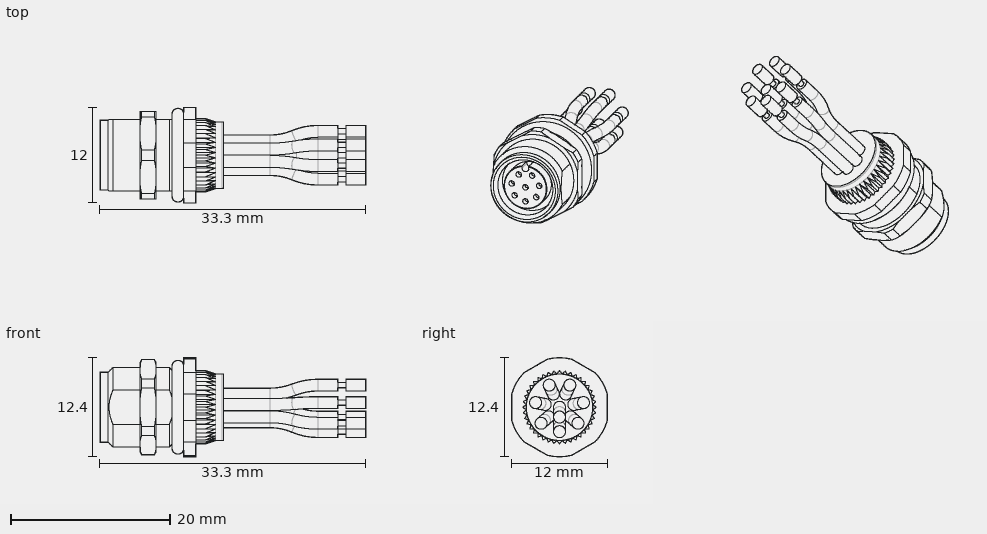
import cadquery as cq
import math


collar_end = 1.0
nut_start = 5.0
nut_end = 7.0
thread_end = 8.65
flange_start = 10.45
flange_end = 12.0
knurl_taper_start = 13.2
knurl_end = 14.45
body_end = 15.5
bend_start = 21.3
bend_end = 27.3
strip_start = 29.8
strip_end = 30.8
wire_end = 33.3

collar_radius = 8.8 / 2
neck_radius = 4.43
thread_radius = 5.0
thread_flat_width = 9.0
thread_chamfer = thread_radius - collar_radius
rear_collar_radius = 8.4 / 2
rear_chamfer_length = 0.23
rear_chamfer_depth = 0.03

seal_squeeze = 0.03
seal_tube_radius = 1.5 / 2
seal_centre_radius = neck_radius + seal_tube_radius - seal_squeeze
seal_x = flange_start - seal_tube_radius + seal_squeeze

nut_width = 11.0
nut_corner_radius = 6.0
nut_chamfer_length = 0.2
nut_face_radius = 5.6
nut_bore_radius = thread_radius
flange_width = 12.0
flange_corner_radius = 12.45 / 2

tooth_count = 40
tooth_crest_radius = 4.6
tooth_root_radius = rear_collar_radius

bore_radius = 7.2 / 2
mouth_radius = 4.05
mouth_depth = mouth_radius - bore_radius
bore_depth = 2.65
insert_radius = 2.8
insert_chamfer = 0.05
insert_recess = 0.45
key_radius = 0.43
key_centre_height = 2.5
inner_seal_tube_radius = (bore_radius - insert_radius) / 2 + seal_squeeze
inner_seal_centre_radius = (bore_radius + insert_radius) / 2
contact_diameter = 0.7
contact_depth = 1.0
contact_circle_radius = 1.83
ring_contact_count = 7
key_gap_angle = 57.0

wire_circle_radius = 1.83
side_wire_angles = (25.0, 79.0, 131.0)
wire_diameter = 1.5
core_diameter = 0.7
wire_offset = 1.23
straight_down = 180.0


def turned(profile):
    """Revolve an (x, radius) outline about the X axis."""
    return cq.Workplane("XY").polyline(profile).close().revolve(360, (0, 0, 0), (1, 0, 0))


def cylinder(radius, start, end, z=0):
    """Cylinder along X."""
    return cq.Workplane("YZ", origin=(start, 0, 0)).center(0, z).circle(radius).extrude(end - start)


def ring_seal(x, centre_radius, tube_radius):
    """O-ring around the X axis."""
    section = cq.Workplane("XY").center(x, centre_radius).circle(tube_radius)
    return section.revolve(360, (0, -centre_radius, 0), (1, -centre_radius, 0))


def around_axis(shape, angle):
    """Turn a shape about the X axis."""
    return shape.rotate((0, 0, 0), (1, 0, 0), angle)


def hexagon(width, start, end):
    """Hexagonal prism along X with two flats facing +Y and -Y."""
    across_corners = width / math.cos(math.radians(30))
    blank = cq.Workplane("YZ", origin=(start, 0, 0)).polygon(6, across_corners).extrude(end - start)
    half_sector = 30
    return around_axis(blank, half_sector)


def contact_angles():
    """Angles from +Z of the ring contacts, evenly spread outside the wider gap at the key."""
    step = (360.0 - key_gap_angle) / (ring_contact_count - 1)
    return [key_gap_angle / 2 + i * step for i in range(ring_contact_count)]


def wire_angles():
    """Angles from +Z of the ring wires."""
    return [straight_down] + [side * angle for angle in side_wire_angles for side in (1, -1)]


def make_body():
    front = turned([
        (0, 0),
        (0, collar_radius),
        (collar_end, collar_radius),
        (collar_end + thread_chamfer, thread_radius),
        (thread_end, thread_radius),
        (thread_end + thread_radius - neck_radius, neck_radius),
        (flange_start, neck_radius),
        (flange_start, 0),
    ])
    flats = cq.Workplane("XY").box(
        flange_start, thread_flat_width, 2 * thread_radius, centered=(False, True, True)
    )
    rear = turned([
        (flange_start, 0),
        (flange_start, rear_collar_radius),
        (body_end - rear_chamfer_length, rear_collar_radius),
        (body_end, rear_collar_radius - rear_chamfer_depth),
        (body_end, 0),
    ])
    return front.intersect(flats).union(rear)


def make_nut():
    envelope = turned([
        (nut_start, 0),
        (nut_start, nut_face_radius),
        (nut_start + nut_chamfer_length, nut_corner_radius),
        (nut_end - nut_chamfer_length, nut_corner_radius),
        (nut_end, nut_face_radius),
        (nut_end, 0),
    ])
    bore = cylinder(nut_bore_radius, nut_start, nut_end)
    return hexagon(nut_width, nut_start, nut_end).intersect(envelope).cut(bore)


def make_flange():
    rounding = cylinder(flange_corner_radius, flange_start, flange_end)
    return hexagon(flange_width, flange_start, flange_end).intersect(rounding)


def make_knurl():
    outline = []
    for i in range(2 * tooth_count):
        angle = i * math.pi / tooth_count
        radius = tooth_root_radius if i % 2 else tooth_crest_radius
        outline.append((radius * math.cos(angle), radius * math.sin(angle)))
    length = knurl_end - flange_end
    teeth = cq.Workplane("YZ", origin=(flange_end, 0, 0)).polyline(outline).close().extrude(length)
    envelope = turned([
        (flange_end, 0),
        (flange_end, tooth_crest_radius),
        (knurl_taper_start, tooth_crest_radius),
        (knurl_end, tooth_root_radius),
        (knurl_end, 0),
    ])
    return teeth.intersect(envelope)


def make_socket_cavity():
    """Flared bore around the insert, with the keyway and contact holes in the insert."""
    cavity = turned([
        (0, 0),
        (0, mouth_radius),
        (mouth_depth, bore_radius),
        (bore_depth, bore_radius),
        (bore_depth, insert_radius),
        (insert_recess + insert_chamfer, insert_radius),
        (insert_recess, insert_radius - insert_chamfer),
        (insert_recess, 0),
    ])
    key_depth = bore_depth - insert_recess
    cavity = cavity.union(cylinder(key_radius, insert_recess, bore_depth, z=key_centre_height))
    key_mouth = cq.Workplane("XY").box(
        key_depth, 2 * key_radius, insert_radius - key_centre_height, centered=(False, True, False)
    )
    cavity = cavity.union(key_mouth.translate((insert_recess, 0, key_centre_height)))
    hole_end = insert_recess + contact_depth
    hole_radius = contact_diameter / 2
    cavity = cavity.union(cylinder(hole_radius, insert_recess, hole_end))
    ring_hole = cylinder(hole_radius, insert_recess, hole_end, z=contact_circle_radius)
    for angle in contact_angles():
        cavity = cavity.union(around_axis(ring_hole, angle))
    return cavity


def make_wire(start_height):
    """Wire that swings up through an S-bend, with a stripped gap near its end."""
    end_height = start_height + wire_offset
    bend_middle = ((bend_start + bend_end) / 2, start_height + wire_offset / 2)
    path = (
        cq.Workplane("XZ")
        .moveTo(body_end, start_height)
        .lineTo(bend_start, start_height)
        .tangentArcPoint(bend_middle, relative=False)
        .tangentArcPoint((bend_end, end_height), relative=False)
        .lineTo(strip_start, end_height)
    )
    section = cq.Workplane("YZ", origin=(body_end, 0, 0)).center(0, start_height)
    sleeve = section.circle(wire_diameter / 2).sweep(path)
    core = cylinder(core_diameter / 2, strip_start, strip_end, z=end_height)
    tip = cylinder(wire_diameter / 2, strip_end, wire_end, z=end_height)
    return sleeve.union(core).union(tip)


result = make_body().cut(make_socket_cavity())
result = result.union(ring_seal(bore_depth, inner_seal_centre_radius, inner_seal_tube_radius))
result = result.union(make_nut())
result = result.union(ring_seal(seal_x, seal_centre_radius, seal_tube_radius))
result = result.union(make_flange())
result = result.union(make_knurl())

result = result.union(around_axis(make_wire(0), straight_down))
ring_wire = make_wire(wire_circle_radius)
for wire_angle in wire_angles():
    result = result.union(around_axis(ring_wire, wire_angle))